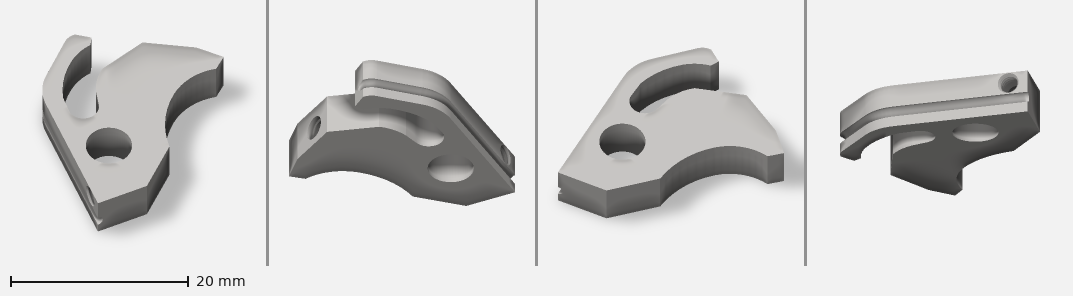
import cadquery as cq
import math

thickness = 5.0
pivot_radius = 2.6

lower_tip = (2.27, -8.2)
right_lower = (6.28, -3.65)
right_upper = (6.28, 2.62)
throat_middle = (4.11, 6.45)
throat = (3.65, 9.75)
throat_end = (6.5, 15.12)
head_right = (6.6, 17.04)
head_left = (3.2, 17.04)
shoulder = (-2.62, 15.27)
cheek = (-5.2, 9.92)
cheek_middle = (-5.07, 8.08)
cheek_end = (-4.5, 6.6)

slot_center = (-4.92, 4.05)
slot_radius = 1.75
slot_start = (-3.48, 5.05)
slot_end = (-5.95, 2.62)
arm_inner_bend = (-7.52, 4.27)
arm_inner_middle = (-8.53, 6.7)
arm_inner_top = (-8.8, 9.65)
arm_inner_tip = (-7.82, 12.57)

arm_tip = (-8.15, 13.6)
arm_outer_tip = (-10.05, 13.25)
arm_outer_top = (-10.65, 11.8)
arm_corner = (-10.55, 4.22)
arm_bend_radius = 5.3

groove_radius = 0.6
groove_height = 1.8
groove_runout = 1.0

thread_x = 0.63
thread_height = 3.7
thread_minor_radius = 1.03
thread_major_radius = 1.2
thread_pitch = 0.45
thread_count = 7
thread_hole_depth = 4.05
countersink_depth = 0.23

head_hole_x = -0.05
head_hole_height = 2.25
counterbore_radius = 1.41
counterbore_depth = 0.63
head_hole_radius = 1.03
head_hole_depth = 3.03


def direction(start, end):
    """Unit vector from one point to another."""
    length = math.dist(start, end)
    return ((end[0] - start[0]) / length, (end[1] - start[1]) / length)


def offset_point(point, heading, distance):
    return (point[0] + heading[0] * distance, point[1] + heading[1] * distance)


def round_corner(before, corner, after, radius):
    """Start, middle and end of the arc that rounds a corner tangentially."""
    back = direction(corner, before)
    ahead = direction(corner, after)
    half_angle = math.acos(back[0] * ahead[0] + back[1] * ahead[1]) / 2
    tangent_length = radius / math.tan(half_angle)
    bisector = direction((0, 0), (back[0] + ahead[0], back[1] + ahead[1]))
    start = offset_point(corner, back, tangent_length)
    middle = offset_point(corner, bisector, radius / math.sin(half_angle) - radius)
    end = offset_point(corner, ahead, tangent_length)
    return start, middle, end


def tangent_arc(start, heading, end):
    """Middle point and final heading of the arc leaving start along a unit heading."""
    chord = direction(start, end)
    along = heading[0] * chord[0] + heading[1] * chord[1]
    final = (2 * along * chord[0] - heading[0], 2 * along * chord[1] - heading[1])
    toward_middle = direction((0, 0), (heading[0] + chord[0], heading[1] + chord[1]))
    half_chord = math.dist(start, end) / 2
    cosine = toward_middle[0] * chord[0] + toward_middle[1] * chord[1]
    return offset_point(start, toward_middle, half_chord / cosine), final


arm_bend_end, arm_bend_middle, arm_outer_low = round_corner(
    lower_tip, arm_corner, arm_outer_top, arm_bend_radius
)
arm_round_middle, arm_tip_heading = tangent_arc(
    arm_outer_top, direction(arm_outer_low, arm_outer_top), arm_outer_tip
)


def edge_frame(start, end, x, z):
    """Plane at height z on a straight edge, its normal pointing to the left of the start-to-end direction."""
    dx = end[0] - start[0]
    dy = end[1] - start[1]
    y = start[1] + (x - start[0]) * dy / dx
    return cq.Plane(origin=(x, y, z), xDir=(dx, dy, 0), normal=(-dy, dx, 0))


def drill(plane, radius, depth):
    return cq.Workplane(plane).circle(radius).extrude(depth)


def make_plate():
    slot_bottom_angle = math.radians(-45)
    slot_middle = (
        slot_center[0] + slot_radius * math.cos(slot_bottom_angle),
        slot_center[1] + slot_radius * math.sin(slot_bottom_angle),
    )
    outline = (
        cq.Workplane("XY")
        .moveTo(*lower_tip)
        .lineTo(*right_lower)
        .lineTo(*right_upper)
        .threePointArc(throat_middle, throat)
        .tangentArcPoint(throat_end, relative=False)
        .lineTo(*head_right)
        .lineTo(*head_left)
        .lineTo(*shoulder)
        .lineTo(*cheek)
        .threePointArc(cheek_middle, cheek_end)
        .lineTo(*slot_start)
        .threePointArc(slot_middle, slot_end)
        .lineTo(*arm_inner_bend)
        .threePointArc(arm_inner_middle, arm_inner_top)
        .tangentArcPoint(arm_inner_tip, relative=False)
        .lineTo(*arm_tip)
        .lineTo(*arm_outer_tip)
        .threePointArc(arm_round_middle, arm_outer_top)
        .lineTo(*arm_outer_low)
        .threePointArc(arm_bend_middle, arm_bend_end)
        .close()
    )
    pivot = cq.Workplane("XY").circle(pivot_radius).extrude(thickness)
    return outline.extrude(thickness).cut(pivot)


def make_groove():
    """Round bar following the outer edge, running out past both ends."""
    outward = direction(arm_bend_end, lower_tip)
    start = offset_point(lower_tip, outward, groove_runout)
    finish = offset_point(arm_outer_tip, arm_tip_heading, groove_runout)
    path = (
        cq.Workplane("XY", origin=(0, 0, groove_height))
        .moveTo(*start)
        .lineTo(*arm_bend_end)
        .threePointArc(arm_bend_middle, arm_outer_low)
        .lineTo(*arm_outer_top)
        .threePointArc(arm_round_middle, arm_outer_tip)
        .lineTo(*finish)
    )
    profile_plane = cq.Plane(
        origin=(start[0], start[1], groove_height), xDir=(0, 0, 1), normal=(-outward[0], -outward[1], 0)
    )
    return cq.Workplane(profile_plane).circle(groove_radius).sweep(path)


def make_threaded_hole():
    """Countersunk hole whose thread is a row of V-shaped rings."""
    frame = edge_frame(arm_bend_end, lower_tip, thread_x, thread_height)
    level_plane = cq.Plane(origin=frame.origin, xDir=frame.xDir, normal=(0, 0, 1))
    profile = (
        cq.Workplane(level_plane)
        .moveTo(0, 0)
        .lineTo(thread_major_radius, 0)
        .lineTo(thread_minor_radius, countersink_depth)
    )
    for ring in range(thread_count):
        ring_start = countersink_depth + ring * thread_pitch
        profile = profile.lineTo(thread_major_radius, ring_start + thread_pitch / 2)
        profile = profile.lineTo(thread_minor_radius, ring_start + thread_pitch)
    profile = profile.lineTo(thread_minor_radius, thread_hole_depth).lineTo(0, thread_hole_depth).close()
    return profile.revolve(360, (0, 0), (0, 1))


def make_head_hole():
    frame = edge_frame(head_left, shoulder, head_hole_x, head_hole_height)
    counterbore = drill(frame, counterbore_radius, counterbore_depth)
    return counterbore.union(drill(frame, head_hole_radius, head_hole_depth))


result = make_plate().cut(make_groove()).cut(make_threaded_hole()).cut(make_head_hole())